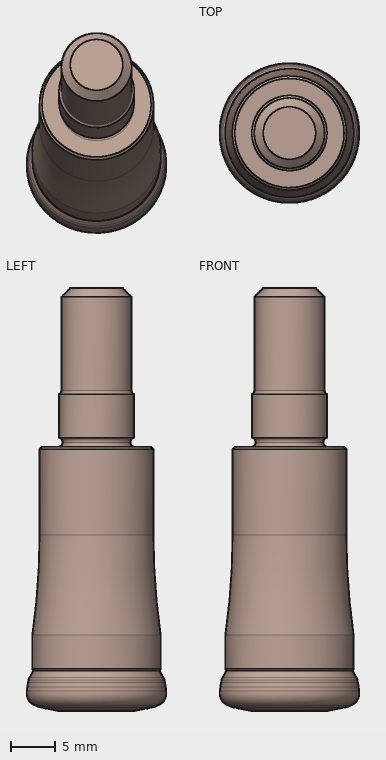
import cadquery as cq

TOTAL_HEIGHT = 48.0

SHAFT_RADIUS = 4.0
SHAFT_CHAMFER = 1.0
COLLAR_RADIUS = 4.25
COLLAR_TOP_Z = 36.4
COLLAR_SHOULDER_HEIGHT = 0.45
COLLAR_SHOULDER_RADIUS = 0.5

GROOVE_DEPTH = 0.4
GROOVE_WIDTH = 1.0
GROOVE_ARC_RADIUS = 0.45

SLEEVE_RADIUS = 6.5
SLEEVE_TOP_Z = 30.0
SLEEVE_CHAMFER = 0.3
FLARE_TOP_Z = 20.0
SKIRT_TOP_Z = 8.65
SKIRT_RADIUS = 7.3
SKIRT_BOTTOM_Z = 4.8

FOOT_TOP_Z = 4.55
FOOT_TOP_RADIUS = 7.2
FLANK_RADIUS = 7.6
FLANK_TOP_Z = 3.85
BAND_TOP_RADIUS = 7.75
BAND_TOP_Z = 3.55
BAND_BOTTOM_RADIUS = 7.8
BAND_BOTTOM_Z = 3.25
BEAD_RADIUS = 7.85
BEAD_TOP_Z = 2.75
BULGE_TOP_RADIUS = 7.9
BULGE_ARC_RADIUS = 1.5
BULGE_TOP_Z = 2.3
BULGE_BOTTOM_RADIUS = 7.05
BULGE_BOTTOM_Z = 0.65
BASE_CONE_RADIUS = 6.5
BASE_CONE_HEIGHT = 0.45
BASE_RADIUS = 4.3


def revolve_profile(profile):
    """Turn a half profile, drawn as (radius, z), a full turn about the Z axis."""
    return profile.close().revolve(360, (0, 0, 0), (0, 1, 0))


def make_body():
    """Stem, collar and flared sleeve turned as one piece."""
    flare_height = FLARE_TOP_Z - SKIRT_TOP_Z
    flare_growth = SKIRT_RADIUS - SLEEVE_RADIUS
    flare_arc_radius = (flare_height**2 + flare_growth**2) / (2 * flare_growth)

    groove_top_z = SLEEVE_TOP_Z + GROOVE_WIDTH
    groove_floor = (COLLAR_RADIUS - GROOVE_DEPTH, SLEEVE_TOP_Z + GROOVE_WIDTH / 2)

    profile = (
        cq.Workplane("XZ")
        .moveTo(0, FOOT_TOP_Z)
        .lineTo(FOOT_TOP_RADIUS, FOOT_TOP_Z)
        .lineTo(SKIRT_RADIUS, SKIRT_BOTTOM_Z)
        .lineTo(SKIRT_RADIUS, SKIRT_TOP_Z)
        .radiusArc((SLEEVE_RADIUS, FLARE_TOP_Z), flare_arc_radius)
        .lineTo(SLEEVE_RADIUS, SLEEVE_TOP_Z - SLEEVE_CHAMFER)
        .lineTo(SLEEVE_RADIUS - SLEEVE_CHAMFER, SLEEVE_TOP_Z)
        .lineTo(COLLAR_RADIUS, SLEEVE_TOP_Z)
        .radiusArc(groove_floor, GROOVE_ARC_RADIUS)
        .radiusArc((COLLAR_RADIUS, groove_top_z), GROOVE_ARC_RADIUS)
        .lineTo(COLLAR_RADIUS, COLLAR_TOP_Z - COLLAR_SHOULDER_HEIGHT)
        .radiusArc((SHAFT_RADIUS, COLLAR_TOP_Z), COLLAR_SHOULDER_RADIUS)
        .lineTo(SHAFT_RADIUS, TOTAL_HEIGHT - SHAFT_CHAMFER)
        .lineTo(SHAFT_RADIUS - SHAFT_CHAMFER, TOTAL_HEIGHT)
        .lineTo(0, TOTAL_HEIGHT)
    )
    return revolve_profile(profile)


def make_foot():
    """Bulged pad that carries the body on its flat top."""
    profile = (
        cq.Workplane("XZ")
        .lineTo(BASE_RADIUS, 0)
        .lineTo(BASE_CONE_RADIUS, BASE_CONE_HEIGHT)
        .lineTo(BULGE_BOTTOM_RADIUS, BULGE_BOTTOM_Z)
        .radiusArc((BULGE_TOP_RADIUS, BULGE_TOP_Z), -BULGE_ARC_RADIUS)
        .lineTo(BEAD_RADIUS, BEAD_TOP_Z)
        .lineTo(BAND_BOTTOM_RADIUS, BAND_BOTTOM_Z)
        .lineTo(BAND_TOP_RADIUS, BAND_TOP_Z)
        .lineTo(FLANK_RADIUS, FLANK_TOP_Z)
        .lineTo(FOOT_TOP_RADIUS, FOOT_TOP_Z)
        .lineTo(0, FOOT_TOP_Z)
    )
    return revolve_profile(profile)


body = make_body()
foot = make_foot()

result = cq.Compound.makeCompound([body.val(), foot.val()])